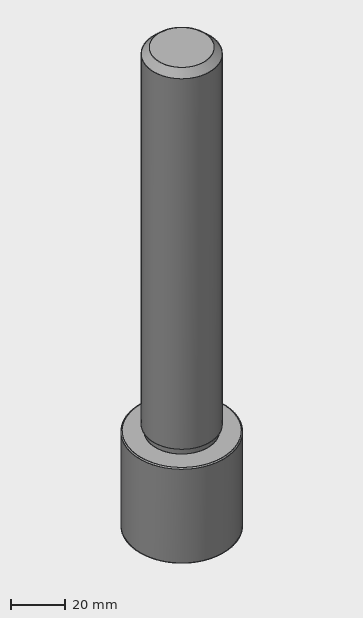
import cadquery as cq

head_diameter = 45.0
head_height = 45.0
head_edge_chamfer = 0.5

shank_diameter = 30.0
shank_tip_chamfer = 3.0

neck_diameter = 28.0
neck_height = 3.0

overall_length = 225.0
shank_length = overall_length - head_height - neck_height


def make_head():
    """Cylindrical head with both rims lightly chamfered."""
    head = cq.Workplane("XY").circle(head_diameter / 2).extrude(head_height)
    return head.edges("%CIRCLE").chamfer(head_edge_chamfer)


def make_neck():
    """Short undercut between the head and the shank."""
    neck = cq.Workplane("XY").workplane(offset=head_height)
    return neck.circle(neck_diameter / 2).extrude(neck_height)


def make_shank():
    """Long plain shank with a chamfered free end."""
    shank = cq.Workplane("XY").workplane(offset=head_height + neck_height)
    shank = shank.circle(shank_diameter / 2).extrude(shank_length)
    return shank.faces(">Z").edges().chamfer(shank_tip_chamfer)


result = make_head().union(make_neck()).union(make_shank())